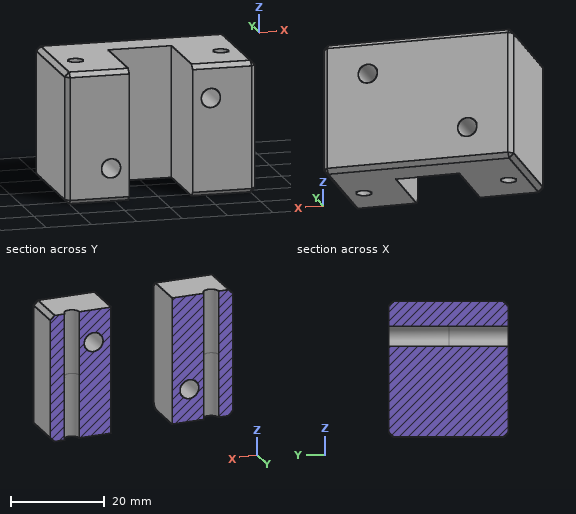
import cadquery as cq

width = 42.0
depth = 25.5
height = 29.0
edge_chamfer = 1.0

slot_width = 14.0
slot_depth = 17.5

vertical_hole_diameter = 3.3
vertical_hole_offset = 16.0
vertical_hole_from_front = 10.5

cross_hole_diameter = 4.2
cross_hole_offset_x = 11.0
cross_hole_offset_z = 7.0

front_y = -depth / 2

block = cq.Workplane("XY").box(width, depth, height).edges().chamfer(edge_chamfer)

slot = cq.Workplane("XY").box(slot_width, slot_depth, height).translate((0, front_y + slot_depth / 2, 0))

vertical_hole_y = front_y + vertical_hole_from_front
vertical_holes = (
    cq.Workplane("XY")
    .pushPoints([(side * vertical_hole_offset, vertical_hole_y) for side in (-1, 1)])
    .circle(vertical_hole_diameter / 2)
    .extrude(height / 2, both=True)
)

cross_holes = (
    cq.Workplane("XZ")
    .pushPoints([(side * cross_hole_offset_x, side * cross_hole_offset_z) for side in (-1, 1)])
    .circle(cross_hole_diameter / 2)
    .extrude(depth / 2, both=True)
)

result = block.cut(slot).cut(vertical_holes).cut(cross_holes)